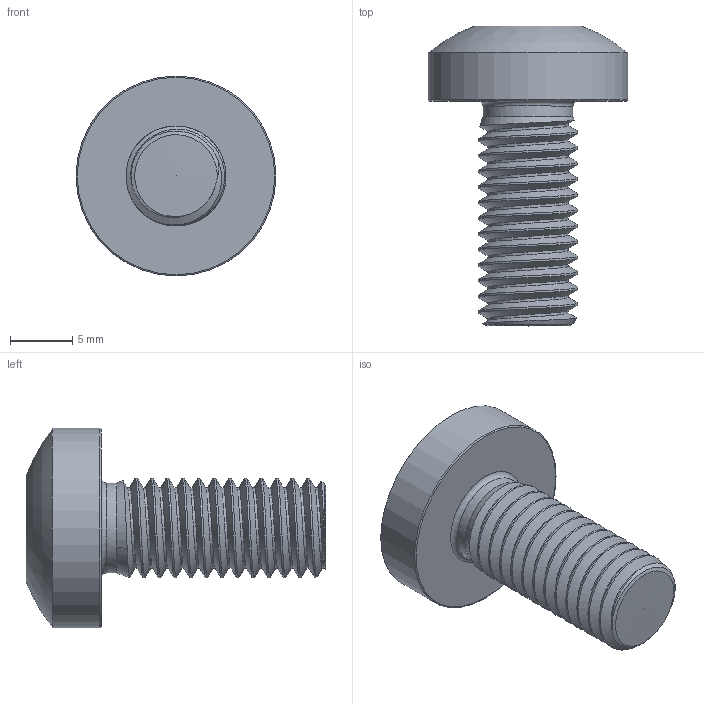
import cadquery as cq
import math


head_radius = 8.0
head_height = 6.0
dome_height = 2.1
crown_radius = 4.25
dome_ledge = 0.1
dome_sagitta = 0.2
head_edge_fillet = 0.1

shank_length = 18.0
neck_radius = 3.6
neck_length = 1.25
neck_fillet = 0.4

pitch = 1.25
crest_radius = 4.0
sharp_v_height = math.sqrt(3) / 2 * pitch
thread_depth = 17 / 24 * sharp_v_height
root_radius = crest_radius - thread_depth
root_flat = pitch / 6
flank_tan = math.tan(math.radians(30))
cutter_overshoot = 0.1
groove_lead_angle = 90
groove_overrun = 0.6 * pitch
blank_seam_angle = 205

runout_length = 1.1
tip_face_radius = 3.3
tip_bevel_radius = 3.6
tip_bevel_height = 0.1
tip_taper_length = 0.8
tip_crown = 0.03


def make_head():
    """Cylinder with a shallow dome that ends in a flat crown."""
    dome_base_z = dome_height - head_height
    dome_base_radius = head_radius - dome_ledge
    chord_r = dome_base_radius - crown_radius
    chord = math.hypot(chord_r, dome_height)
    dome_mid = (
        (dome_base_radius + crown_radius) / 2 + dome_sagitta * dome_height / chord,
        dome_base_z - dome_height / 2 - dome_sagitta * chord_r / chord,
    )
    head = (
        cq.Workplane("XZ")
        .lineTo(head_radius, 0)
        .lineTo(head_radius, dome_base_z)
        .lineTo(dome_base_radius, dome_base_z)
        .threePointArc(dome_mid, (crown_radius, -head_height))
        .lineTo(0, -head_height)
        .close()
        .revolve(360, (0, 0), (0, 1))
    )
    return head.faces(">Z").edges().fillet(head_edge_fillet)


def make_neck():
    """Plain neck, with a concave fillet where it meets the head."""
    fillet_mid = neck_fillet * (1 - math.sqrt(0.5))
    return (
        cq.Workplane("XZ")
        .lineTo(neck_radius + neck_fillet, 0)
        .threePointArc((neck_radius + fillet_mid, fillet_mid), (neck_radius, neck_fillet))
        .lineTo(neck_radius, neck_length)
        .lineTo(0, neck_length)
        .close()
        .revolve(360, (0, 0), (0, 1))
    )


def make_thread_blank():
    """Uncut thread body: conical run-out, crest cylinder, tapered and slightly crowned tip."""
    tip_edge_z = shank_length - tip_crown
    return (
        cq.Workplane("XZ")
        .moveTo(0, neck_length)
        .lineTo(neck_radius, neck_length)
        .lineTo(crest_radius, neck_length + runout_length)
        .lineTo(crest_radius, tip_edge_z - tip_taper_length)
        .lineTo(tip_bevel_radius, tip_edge_z - tip_bevel_height)
        .lineTo(tip_face_radius, tip_edge_z)
        .lineTo(0, shank_length)
        .close()
        .revolve(360, (0, 0), (0, 1))
    )


def make_thread_groove():
    """Flat-bottomed helical V groove; crests at +X fall on whole pitches from the head."""
    start_z = neck_length + pitch / 2 - pitch * groove_lead_angle / 360
    length = shank_length + groove_overrun - start_z
    outer_radius = crest_radius + cutter_overshoot
    root_half = root_flat / 2
    outer_half = root_half + (outer_radius - root_radius) * flank_tan
    profile = [
        (root_radius, -root_half),
        (outer_radius, -outer_half),
        (outer_radius, outer_half),
        (root_radius, root_half),
    ]
    helices = [
        cq.Wire.makeHelix(pitch, length, radius, cq.Vector(0, 0, start_z + offset))
        for radius, offset in profile
    ]
    next_helices = helices[1:] + helices[:1]
    sides = [cq.Face.makeRuledSurface(one, other) for one, other in zip(helices, next_helices)]
    start_outline = cq.Wire.makePolygon([helix.startPoint() for helix in helices], close=True)
    end_outline = cq.Wire.makePolygon([helix.endPoint() for helix in helices], close=True)
    caps = [cq.Face.makeFromWires(outline) for outline in (start_outline, end_outline)]
    groove = cq.Workplane(obj=cq.Solid.makeSolid(cq.Shell.makeShell(sides + caps)))
    return groove.rotate((0, 0, 0), (0, 0, 1), -groove_lead_angle)


blank = make_thread_blank().rotate((0, 0, 0), (0, 0, 1), blank_seam_angle)
thread = blank.cut(make_thread_groove())
screw = make_head().union(make_neck()).union(thread)

result = screw.rotate((0, 0, 0), (1, 0, 0), 90)